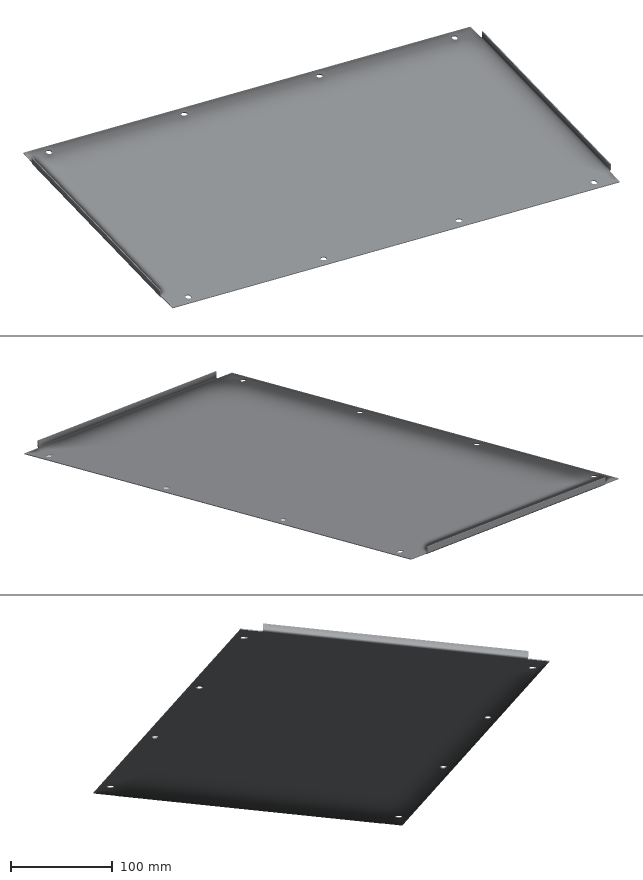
import cadquery as cq

width = 317.0
length = 499.0
height = 8.0
thickness = 1.0

flange_width = 272.0
bend_inner_radius = 1.0
bend_outer_radius = bend_inner_radius + thickness

hole_edge_inset = 10.5
hole_x = width / 2 - hole_edge_inset
round_hole_diameter = 6.5
round_hole_y = 75.0
slot_length = 7.5
slot_width = 5.5
slot_y = 224.5

plate_length = length - 2 * bend_outer_radius


def mirrored_points(x, y):
    """Four points placed symmetrically about the plate centre."""
    return [(side * x, end * y) for side in (-1, 1) for end in (-1, 1)]


def make_plate():
    plate = cq.Workplane("XY").box(width, plate_length, thickness, centered=(True, True, False))
    plate = (
        plate.faces(">Z").workplane(origin=(0, 0, thickness))
        .pushPoints(mirrored_points(hole_x, round_hole_y))
        .hole(round_hole_diameter)
    )
    return (
        plate.faces(">Z").workplane(origin=(0, 0, thickness))
        .pushPoints(mirrored_points(hole_x, slot_y))
        .slot2D(slot_length, slot_width)
        .cutThruAll()
    )


def make_flange():
    """Bend and upright wall at the +Y end, as one bent-sheet profile."""
    bend_start = plate_length / 2
    outer_face = length / 2
    inner_face = outer_face - thickness
    return (
        cq.Workplane("YZ", origin=(-flange_width / 2, 0, 0))
        .moveTo(bend_start, 0)
        .radiusArc((outer_face, bend_outer_radius), -bend_outer_radius)
        .lineTo(outer_face, height)
        .lineTo(inner_face, height)
        .lineTo(inner_face, bend_outer_radius)
        .radiusArc((bend_start, thickness), bend_inner_radius)
        .close()
        .extrude(flange_width)
    )


flange = make_flange()
result = make_plate().union(flange).union(flange.mirror("XZ"))